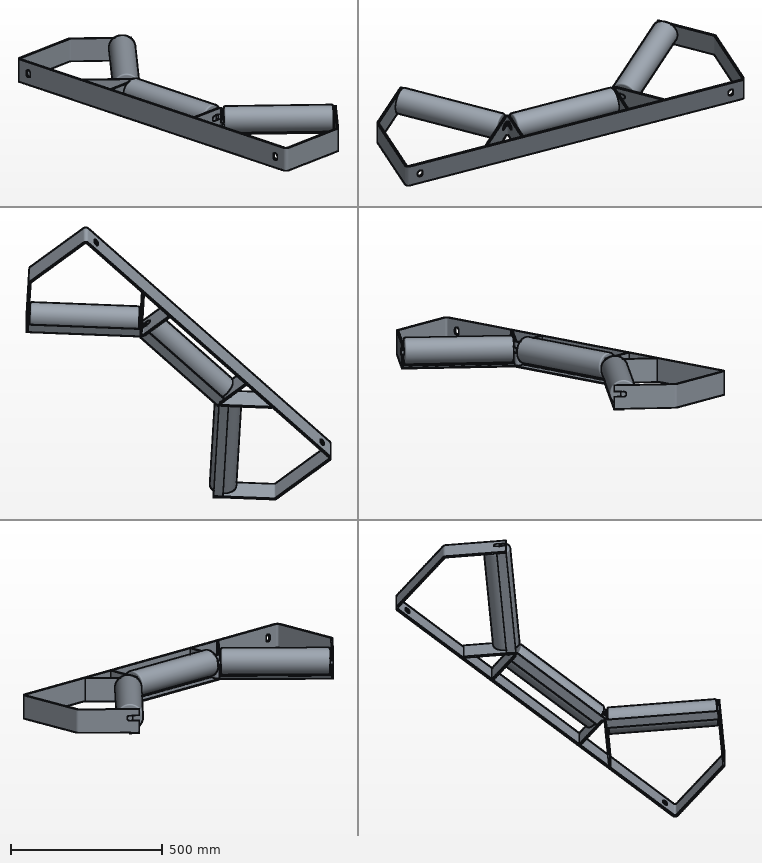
import cadquery as cq
import math

frame_width = 1210.0
plate_thickness = 6.0
plate_height = 80.0
bend_radius = 12.0
bracket_bend_radius = 10.0
overall_depth = 398.67
flange_length = 205.0
trough_angle = 45.0

roller_diameter = 89.0
roller_length = 360.0
roller_edge_radius = 5.0
roller_span = 370.0
roller_axis_height = 50.0
middle_axis_y = 99.0

seat_depth = 31.0
shaft_diameter = 18.0
strip_thickness = 3.0
strip_bearing = 5.0
middle_strip_width = 35.0

mount_slot_width = 18.0
mount_slot_height = 25.0
mount_slot_inset = 50.0

half_width = frame_width / 2
flange_dir = cq.Vector(math.cos(math.radians(trough_angle)), math.sin(math.radians(trough_angle)))
roller_dir = cq.Vector(flange_dir.y, -flange_dir.x)
corner = cq.Vector(-half_width, overall_depth - flange_length * flange_dir.y)
flange_tip = corner + flange_dir * flange_length
half_span = roller_span / 2
post_outer_x = -half_span - plate_thickness

left_center = flange_tip - flange_dir * seat_depth + roller_dir * (plate_thickness + half_span)
leg_point = flange_tip + roller_dir * (plate_thickness + roller_span)
apex = leg_point + flange_dir * ((-half_span - leg_point.x) / flange_dir.x)
middle_center = cq.Vector(0, middle_axis_y)


def roller_frame(center, angle):
    """Location with X along a roller axis and Y towards the open end of its slots."""
    return cq.Location(center + cq.Vector(0, 0, roller_axis_height), cq.Vector(0, 0, 1), angle)


left_place = roller_frame(left_center, -trough_angle)
middle_place = roller_frame(middle_center, 0)
right_place = roller_frame(cq.Vector(-left_center.x, left_center.y), trough_angle)
places = [left_place, middle_place, right_place]


def make_shaft_section(length, opening_depth):
    """Bar along X: round below the roller axis, straight-sided up to the given depth above it."""
    bar = cq.Workplane("YZ", origin=(-length / 2, 0, 0)).circle(shaft_diameter / 2).extrude(length)
    upper = cq.Workplane("XY").box(length, opening_depth, shaft_diameter)
    return bar.union(upper.translate((0, opening_depth / 2, 0)))


def make_seat_slots():
    """Cutter for the open slots that take both ends of one roller's shaft."""
    return make_shaft_section(roller_span + 2 * plate_thickness, 2 * seat_depth)


def cut_seats(body, seat_places):
    """Open the shaft slots of the given rollers in a plate body."""
    for place in seat_places:
        body = body.cut(cq.Workplane(make_seat_slots().val().located(place)))
    return body


def make_frame():
    """Wide channel of bent plate with a flange sloping in at each end."""
    inner = plate_thickness
    flange_inner_tip = flange_tip + roller_dir * inner
    bend_setback = inner * math.tan(math.radians(trough_angle) / 2)
    inner_corner = (corner.x + inner, corner.y - bend_setback)
    left_side = [
        (flange_inner_tip.x, flange_inner_tip.y),
        (flange_tip.x, flange_tip.y),
        (corner.x, corner.y),
        (-half_width, 0),
    ]
    right_side = [(-x, y) for x, y in reversed(left_side)]
    inside = [
        (-inner_corner[0], inner_corner[1]),
        (half_width - inner, inner),
        (-half_width + inner, inner),
        inner_corner,
    ]
    frame = cq.Workplane("XY").polyline(left_side + right_side + inside).close().extrude(plate_height)
    for side in (-1, 1):
        for y in (0, corner.y):
            outer_edge = cq.selectors.NearestToPointSelector((side * half_width, y, plate_height / 2))
            frame = frame.edges("|Z").edges(outer_edge).fillet(bend_radius)
        for y in (inner, inner_corner[1]):
            point = (side * (half_width - inner), y, plate_height / 2)
            inner_edge = cq.selectors.NearestToPointSelector(point)
            frame = frame.edges("|Z").edges(inner_edge).fillet(bend_radius - inner)
    mount_slots = (
        cq.Workplane("XZ")
        .pushPoints([(side * (half_width - mount_slot_inset), plate_height / 2) for side in (-1, 1)])
        .slot2D(mount_slot_height, mount_slot_width, 90)
        .extrude(-plate_thickness)
    )
    return cut_seats(frame.cut(mount_slots), [left_place, right_place])


def make_left_bracket():
    """Upright post and sloping leg, bent from one strip of plate."""
    foot_y = plate_thickness
    leg_run = (apex.y - foot_y) / math.tan(math.radians(trough_angle))
    leg_step = plate_thickness / math.sin(math.radians(trough_angle))
    foot_x = apex.x - leg_run + leg_step
    foot_corner = cq.Vector(foot_x, foot_y) - roller_dir * plate_thickness
    crotch_y = apex.y - leg_step - plate_thickness / math.tan(math.radians(trough_angle))
    outline = [
        apex.toTuple()[:2],
        (foot_corner.x, foot_corner.y),
        (foot_x, foot_y),
        (post_outer_x, crotch_y),
        (post_outer_x, foot_y),
        (apex.x, foot_y),
    ]
    bracket = cq.Workplane("XY").polyline(outline).close().extrude(plate_height)
    inner_edge = cq.selectors.NearestToPointSelector((post_outer_x, crotch_y, plate_height / 2))
    bracket = bracket.edges("|Z").edges(inner_edge).fillet(bracket_bend_radius - plate_thickness)
    outer_edge = cq.selectors.NearestToPointSelector((apex.x, apex.y, plate_height / 2))
    bracket = bracket.edges("|Z").edges(outer_edge).fillet(bracket_bend_radius)
    return cut_seats(bracket, [left_place, middle_place])


def make_roller():
    """Roller with its shaft along X, centred on the origin."""
    start = (-roller_length / 2, 0, 0)
    shell = cq.Workplane("YZ", origin=start).circle(roller_diameter / 2).extrude(roller_length)
    shell = shell.faces("<X or >X").edges().fillet(roller_edge_radius)
    shaft = make_shaft_section(roller_span + 2 * plate_thickness, shaft_diameter / 2)
    return shell.union(shaft)


def make_strip(width):
    """Flat strip under one roller, with one long edge below the roller axis."""
    length = roller_span + 2 * strip_bearing
    center = (0, width / 2, -roller_axis_height - strip_thickness / 2)
    return cq.Workplane("XY").box(length, width, strip_thickness).translate(center)


frame = make_frame()
left_bracket = make_left_bracket()
brackets = [left_bracket, left_bracket.mirror("YZ")]
rollers = [make_roller().val().located(place) for place in places]
strip_widths = [seat_depth, middle_strip_width, seat_depth]
strips = [make_strip(width).val().located(place) for width, place in zip(strip_widths, places)]

result = cq.Compound.makeCompound([frame.val(), *[b.val() for b in brackets], *rollers, *strips])